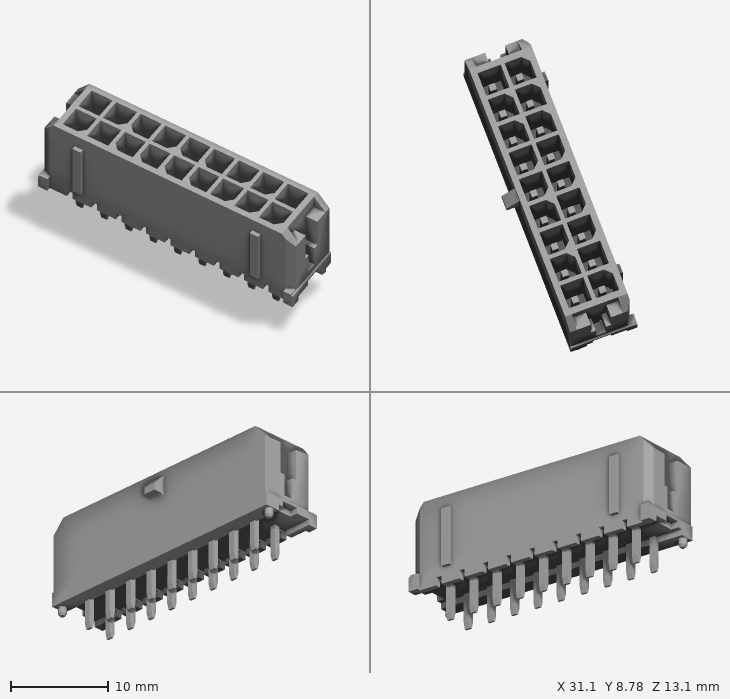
import cadquery as cq


overall_length = 31.15
flange_thickness = 0.22
flange_height = 1.6
body_length = overall_length - 2 * flange_thickness
body_depth = 6.88
body_height = 9.85
front_step = 0.47
foot_height = 1.78
corner_length = 0.95
corner_depth = 0.5
end_top = 8.25
shoulder_length = 1.4

body_end = body_length / 2
core_end = body_end - shoulder_length
front_y = -body_depth / 2
back_y = body_depth / 2

back_cheek = 0.75
front_cheek = 1.05
slot_y = 0.03
wide_slot_width = 2.25
wide_slot_floor = 4.7
narrow_slot_width = 1.12
narrow_slot_floor = 2.25
well_width = 0.75
well_length = 0.6
well_depth = 0.62

columns = 9
column_span = 24.0
column_pitch = column_span / (columns - 1)
row_pitch = 3.0
pin_row_shift = 0.1
pin_size = 0.7
pin_top = 6.85
pin_bottom = -3.25
pin_taper = 0.72
pin_tip = 0.28

cavity_size = 2.55
cavity_floor = narrow_slot_floor
key_chamfer = 0.72
back_row_keys = "-RLRLLRR-"
front_row_keys = "R-LLLLRRR"

channel_height = 0.65
front_sill = 0.7
back_sill = 1.8
channel_front = front_y + front_sill
channel_back = back_y - back_sill
notch_height = 0.9
end_pocket_width = 2.02
end_pocket_top = 1.3
end_pocket_length = 0.95

rib_width = 1.0
rib_x = 10.85

latch_width = 1.43
latch_reach = 1.43
latch_top = 9.2
latch_nose_top = 7.7
latch_nose_bottom = 6.9
latch_root_radius = 0.53

peg_x = 15.0
peg_inset = 0.95
peg_y = back_y - peg_inset
peg_radius = 0.47
peg_tip_radius = 0.28
peg_straight = 0.7
peg_length = 0.97

SIDES = (-1, 1)


def block(x0, x1, y0, y1, z0, z1):
    """Axis-aligned box between two opposite corners."""
    size = (abs(x1 - x0), abs(y1 - y0), abs(z1 - z0))
    corner = (min(x0, x1), min(y0, y1), min(z0, z1))
    return cq.Workplane("XY").box(*size, centered=False).translate(corner)


def housing_shell():
    """Solid body with chamfered front corners and sloped end shoulders."""
    footprint = (
        cq.Workplane("XY")
        .polyline([
            (-body_end, back_y),
            (body_end, back_y),
            (body_end, front_y + corner_depth),
            (body_end - corner_length, front_y),
            (corner_length - body_end, front_y),
            (-body_end, front_y + corner_depth),
        ])
        .close()
        .extrude(body_height)
    )
    elevation = (
        cq.Workplane("XZ")
        .polyline([
            (-body_end, 0),
            (body_end, 0),
            (body_end, end_top),
            (core_end, body_height),
            (-core_end, body_height),
            (-body_end, end_top),
        ])
        .close()
        .extrude(body_depth / 2, both=True)
    )
    return footprint.intersect(elevation)


def end_base(side):
    """Flange along one end, with the square foot at its front corner."""
    foot_front = front_y - front_step
    flange = block(side * body_end, side * overall_length / 2, foot_front, back_y, 0, flange_height)
    foot = block(
        side * (body_end - corner_length), side * body_end,
        foot_front, front_y + corner_depth, 0, foot_height,
    )
    return flange.union(foot)


def end_recess(side):
    """Stepped opening in one end: a wide top, then two narrowing slots and a well."""
    inner = side * core_end
    outer = side * body_end
    recess = block(inner, outer, front_y + front_cheek, back_y - back_cheek, end_top, body_height)
    for width, floor in (
        (wide_slot_width, wide_slot_floor),
        (narrow_slot_width, narrow_slot_floor),
    ):
        slot = block(inner, outer, slot_y - width / 2, slot_y + width / 2, floor, end_top)
        recess = recess.union(slot)
    well = block(
        inner, side * (core_end + well_length),
        slot_y - well_width / 2, slot_y + well_width / 2,
        narrow_slot_floor - well_depth, narrow_slot_floor,
    )
    return recess.union(well)


def end_pocket(side):
    """Shallow pocket above the underside channel, open to one end."""
    outer = overall_length / 2
    return block(
        side * (outer - end_pocket_length), side * outer,
        -end_pocket_width / 2, end_pocket_width / 2, 0, end_pocket_top,
    )


def cavity(x, y, key):
    """Square contact cavity, with one front corner cut off when it is keyed."""
    half = cavity_size / 2
    hollow = block(x - half, x + half, y - half, y + half, cavity_floor, body_height)
    if key == "-":
        return hollow
    side = 1 if key == "R" else -1
    corner_x = x + side * half
    corner_y = y - half
    corner = (
        cq.Workplane("XY", origin=(0, 0, cavity_floor))
        .polyline([
            (corner_x, corner_y),
            (corner_x - side * key_chamfer, corner_y),
            (corner_x, corner_y + key_chamfer),
        ])
        .close()
        .extrude(body_height - cavity_floor)
    )
    return hollow.cut(corner)


def pin(x, y):
    """Square pin whose lower tip tapers on its front and back faces."""
    half = pin_size / 2
    return (
        cq.Workplane("YZ", origin=(x, y, 0))
        .polyline([
            (-half, pin_top),
            (half, pin_top),
            (half, pin_bottom + pin_taper),
            (pin_tip / 2, pin_bottom),
            (-pin_tip / 2, pin_bottom),
            (-half, pin_bottom + pin_taper),
        ])
        .close()
        .extrude(half, both=True)
    )


def latch():
    """Ramp on the back wall with a flat catch and a rounded root below it."""
    nose_y = back_y + latch_reach
    root_y = back_y + latch_root_radius
    return (
        cq.Workplane("YZ")
        .moveTo(back_y, latch_top)
        .lineTo(nose_y, latch_nose_top)
        .lineTo(nose_y, latch_nose_bottom)
        .lineTo(root_y, latch_nose_bottom)
        .radiusArc((back_y, latch_nose_bottom - latch_root_radius), -latch_root_radius)
        .close()
        .extrude(latch_width / 2, both=True)
    )


def peg(side):
    """Locating peg under one end, with a conical tip."""
    return (
        cq.Workplane("XZ")
        .polyline([
            (0, 0),
            (peg_radius, 0),
            (peg_radius, -peg_straight),
            (peg_tip_radius, -peg_length),
            (0, -peg_length),
        ])
        .close()
        .revolve(360, (0, 0), (0, 1))
        .translate((side * peg_x, peg_y, 0))
    )


def rib(side):
    """Upright rib on the front wall."""
    x = side * rib_x
    return block(
        x - rib_width / 2, x + rib_width / 2,
        front_y - front_step, front_y, foot_height, end_top,
    )


housing = housing_shell()
for end in SIDES:
    housing = housing.union(end_base(end)).union(rib(end))
    housing = housing.cut(end_recess(end)).cut(end_pocket(end))
housing = housing.union(latch())
housing = housing.cut(block(
    -overall_length / 2, overall_length / 2, channel_front, channel_back, 0, channel_height,
))

column_x = [-column_span / 2 + column * column_pitch for column in range(columns)]
front_pin_face = -row_pitch / 2 + pin_row_shift - pin_size / 2
rows = ((row_pitch / 2, back_row_keys), (-row_pitch / 2, front_row_keys))
for x in column_x:
    housing = housing.cut(block(
        x - pin_size / 2, x + pin_size / 2, front_y, front_pin_face, 0, notch_height,
    ))
for row_y, keys in rows:
    for x, key in zip(column_x, keys):
        housing = housing.cut(cavity(x, row_y, key))

result = housing
for row_y, _ in rows:
    for x in column_x:
        result = result.union(pin(x, row_y + pin_row_shift))
for end in SIDES:
    result = result.union(peg(end))